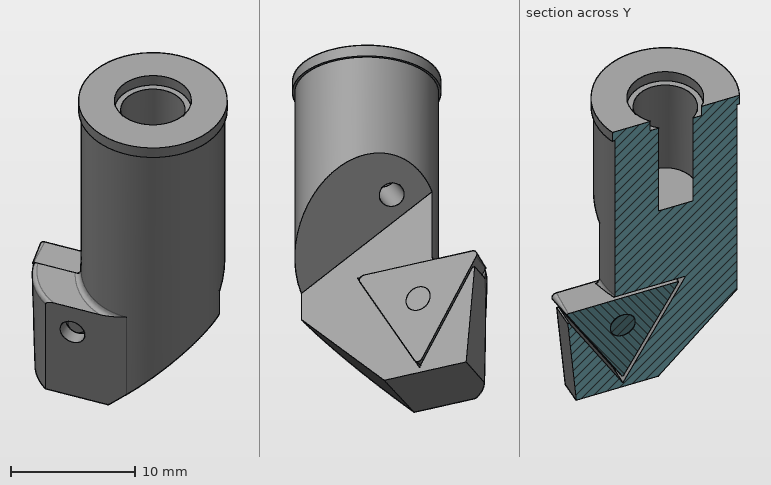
import cadquery as cq
import math

total_height = 28.0
shank_radius = 5.8
collar_radius = 6.0
collar_height = 1.0
counterbore_radius = 3.1
counterbore_depth = 1.0
bore_radius = 2.6
bore_depth = 10.0

relief_centre_z = 13.1
relief_angle = 30.0
relief_slope_x = -math.tan(math.radians(relief_angle))
relief_slope_y = math.tan(math.radians(relief_angle)) / math.cos(math.radians(relief_angle))

coolant_radius = 1.0
coolant_inlet = (-1.62, 0.89)
coolant_exit = (-3.0, 1.7)

insert_inscribed_radius = 3.175
insert_thickness = 2.38
insert_nose_radius = 0.4
insert_clearance_angle = 7.0
insert_proud = 0.25
insert_nose_x = -9.88
insert_top_z = 10.0
insert_corner_distance = 2 * insert_inscribed_radius
insert_half_side = insert_inscribed_radius * math.sqrt(3)
nose_setback = insert_nose_radius * (math.sqrt(3) - 1)
insert_centre_x = insert_nose_x - nose_setback + insert_half_side
insert_centre_z = insert_top_z - insert_inscribed_radius
pocket_floor_y = insert_proud - insert_thickness
notch_floor_z = 8.64

flank_bottom_x = -8.82
flank_lean = math.tan(math.radians(5.0))
flank_skew = 0.02
head_arc_radius = 5.74
head_arc_centre = (-3.6, -1.19)
head_arc_start_y = -1.9
head_lean_x = -0.035
head_lean_y = 0.025
head_edge_radius = 0.4
head_shank_fillet = 0.5
head_top_slope = math.tan(math.radians(insert_clearance_angle))
chamfer_bottom_x = -1.55

screw_x = insert_centre_x
screw_z = insert_centre_z - 0.12
screw_radius = 1.07
screw_tip_radius = 0.75
screw_tip_y = -4.9

margin = 2.0


def prism_along_y(points, y_start, y_end):
    """Prism of an X-Z outline between two Y positions."""
    outline = cq.Workplane("XZ", origin=(0, y_end, 0)).polyline(points).close()
    return outline.extrude(y_end - y_start)


def rod_along_y(x, z, radius, y_start, y_end):
    """Round rod along Y."""
    return cq.Workplane("XZ", origin=(x, y_end, z)).circle(radius).extrude(y_end - y_start)


def head_top_z(y):
    """Height of the sloping head top."""
    return insert_top_z - (insert_proud - y) * head_top_slope


def relief_z(x, y):
    """Height of the oblique relief face."""
    return relief_centre_z + relief_slope_x * x + relief_slope_y * y


def make_rounded_block():
    """Leaning block whose outer corner is one large arc."""
    centre_x, centre_y = head_arc_centre
    far_x = flank_bottom_x - margin
    start_x = centre_x - math.sqrt(head_arc_radius**2 - (head_arc_start_y - centre_y) ** 2)
    middle = (
        centre_x - head_arc_radius * math.cos(math.radians(45)),
        centre_y - head_arc_radius * math.sin(math.radians(45)),
    )
    section = (
        cq.Workplane("XY")
        .moveTo(margin, margin)
        .lineTo(far_x, margin)
        .lineTo(far_x, head_arc_start_y)
        .lineTo(start_x, head_arc_start_y)
        .threePointArc(middle, (centre_x, centre_y - head_arc_radius))
        .lineTo(margin, centre_y - head_arc_radius)
        .close()
    )
    height = insert_top_z + margin
    lean = cq.Vector(head_lean_x * height, head_lean_y * height, height)
    return cq.Workplane(cq.Solid.extrudeLinear(section.val(), [], lean))


def make_flank_limit():
    """Block bounded by the leaning flat flank, the -Y face and the Y = 0 face."""
    height = insert_top_z + margin

    def section(z):
        flank_x = flank_bottom_x - flank_lean * z
        corner_x = flank_x + flank_skew * shank_radius
        corners = [(flank_x, 0), (corner_x, -shank_radius), (0, -shank_radius), (0, 0)]
        return cq.Wire.makePolygon([cq.Vector(x, y, z) for x, y in corners], close=True)

    return cq.Workplane(cq.Solid.makeLoft([section(0), section(height)], True))


def below_head_top():
    """Block whose upper face is the sloping head top."""
    y_low = -shank_radius - margin
    points = [(y_low, 0), (margin, 0), (margin, head_top_z(margin)), (y_low, head_top_z(y_low))]
    reach = 2 * shank_radius
    return cq.Workplane("YZ", origin=(-reach, 0, 0)).polyline(points).close().extrude(reach + margin)


def make_shank():
    """Round bar with its collar."""
    shank = cq.Workplane("XY").circle(shank_radius).extrude(total_height)
    collar = cq.Workplane("XY", origin=(0, 0, total_height - collar_height))
    return shank.union(collar.circle(collar_radius).extrude(collar_height))


def make_head():
    """Insert carrier with a sloping top and a rounded upper edge along its arc."""
    block = make_rounded_block().intersect(below_head_top())
    arc_area = cq.selectors.BoxSelector(
        (flank_bottom_x, -shank_radius, notch_floor_z - margin),
        (-shank_radius, head_arc_start_y, insert_top_z),
    )
    block = block.edges(arc_area).fillet(head_edge_radius)
    return block.intersect(make_flank_limit())


def make_neck_fillet():
    """Fillet where the shank rises out of the head top."""
    post = cq.Workplane("XY").circle(shank_radius).extrude(total_height)
    block = below_head_top().union(post)
    block = block.edges("%ELLIPSE").fillet(head_shank_fillet)
    neck_reach = shank_radius + head_shank_fillet
    keep = cq.Workplane("XY").box(neck_reach, shank_radius, total_height, centered=False)
    return block.intersect(keep.translate((-neck_reach, -shank_radius, 0)))


def insert_outline():
    """Triangle with one edge level at the top and the cutting corner towards -X."""
    corners = [
        (-insert_half_side, insert_inscribed_radius),
        (insert_half_side, insert_inscribed_radius),
        (0, -insert_corner_distance),
    ]
    return cq.Sketch().polygon([*corners, corners[0]])


def insert_plane():
    """Plane of the insert's proud face, centred on the insert."""
    return cq.Workplane("XZ", origin=(insert_centre_x, insert_proud, insert_centre_z))


def make_pocket():
    """Straight-walled seat of the insert, and a level notch below its cutting nose."""
    seat = insert_plane().placeSketch(insert_outline()).extrude(insert_thickness)
    seat_corner_x = insert_centre_x - insert_half_side
    notch_depth = insert_top_z - notch_floor_z
    notch_end_x = seat_corner_x + notch_depth * math.tan(math.radians(30))
    notch_points = [
        (seat_corner_x - margin, notch_floor_z),
        (notch_end_x, notch_floor_z),
        (notch_end_x, insert_top_z),
        (seat_corner_x - margin, insert_top_z),
    ]
    return seat.union(prism_along_y(notch_points, pocket_floor_y, insert_proud))


def make_relief():
    """Everything on the +Y side below the oblique relief face."""
    reach = collar_radius + margin

    def wall(y):
        return cq.Wire.makePolygon(
            [
                cq.Vector(-reach, y, -margin),
                cq.Vector(reach, y, -margin),
                cq.Vector(reach, y, relief_z(reach, y)),
                cq.Vector(-reach, y, relief_z(-reach, y)),
            ],
            close=True,
        )
    return cq.Workplane(cq.Solid.makeLoft([wall(0), wall(reach)], True))


def make_bottom_chamfer():
    """Wedge below the 45 degree face on the +X side."""
    reach = collar_radius + margin
    points = [
        (chamfer_bottom_x - margin, -margin),
        (reach, -margin),
        (reach, reach - chamfer_bottom_x),
    ]
    return prism_along_y(points, -reach, reach)


def make_coolant_hole():
    """Oblique drilling that starts inside the bore and runs out through the relief face."""
    inlet = cq.Vector(*coolant_inlet, total_height - bore_depth)
    outlet = cq.Vector(*coolant_exit, relief_z(*coolant_exit))
    direction = outlet - inlet
    start = inlet - direction.normalized() * coolant_radius
    hole = cq.Solid.makeCylinder(coolant_radius, direction.Length + 2 * margin, start, direction)
    return cq.Workplane(hole)


def make_bore():
    """Stepped bore in the upper end."""
    bore = cq.Workplane("XY", origin=(0, 0, total_height)).circle(bore_radius).extrude(-bore_depth)
    mouth = cq.Workplane("XY", origin=(0, 0, total_height)).circle(counterbore_radius)
    return bore.union(mouth.extrude(-counterbore_depth))


def make_holder():
    """Shank and head in one piece, with all their cuts."""
    holder = make_shank().union(make_head()).union(make_neck_fillet())
    holder = holder.cut(make_relief()).cut(make_bottom_chamfer()).cut(make_pocket())
    holder = holder.cut(make_bore()).cut(make_coolant_hole())
    return holder.cut(rod_along_y(screw_x, screw_z, screw_radius, -shank_radius, pocket_floor_y))


def make_insert():
    """Insert with rounded corners and flanks that narrow towards the pocket floor."""
    outline = insert_outline().vertices().fillet(insert_nose_radius)
    insert = insert_plane().placeSketch(outline).extrude(insert_thickness, taper=insert_clearance_angle)
    return insert.cut(rod_along_y(screw_x, screw_z, screw_radius, pocket_floor_y, insert_proud))


def make_screw():
    """Clamping screw, flush with the insert, with a chamfered tip inside the holder."""
    screw = rod_along_y(screw_x, screw_z, screw_radius, screw_tip_y, insert_proud)
    return screw.faces("<Y").chamfer(screw_radius - screw_tip_radius)


holder = make_holder()
insert = make_insert()
screw = make_screw()

result = cq.Compound.makeCompound([holder.val(), insert.val(), screw.val()])